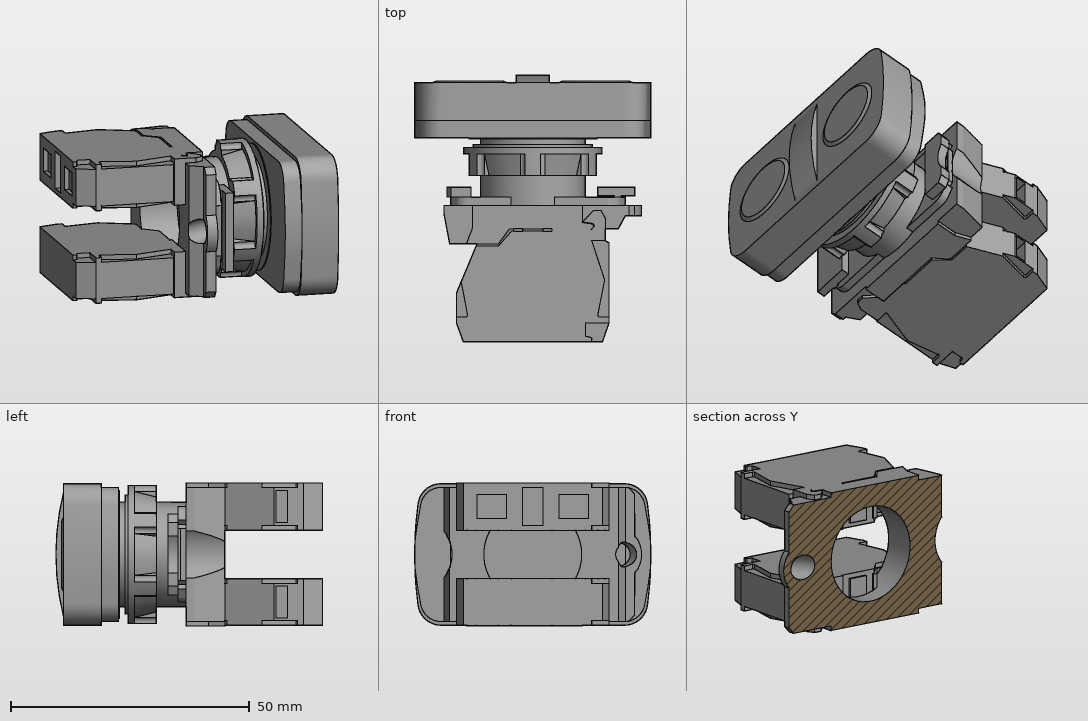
import cadquery as cq
import math


HEAD_HALF_WIDTH = 24.75
HEAD_FRONT_Y = 11.57
HEAD_STEP_Y = 3.62
HEAD_FLAT_HALF = 19.2
FRONT_HALF_HEIGHT = 14.83
FRONT_SHOULDER = (24.06, 10.4)
REAR_HALF_HEIGHT = 14.04
REAR_SHOULDER = (23.5, 10.2)
REAR_BULGE_END = (24.1, 6.8)
LENS_WIDTH = 7.0
LENS_HALF_HEIGHT = 13.0
LENS_RISE = 1.6
BUTTON_X = 13.2
BUTTON_BASE_RADIUS = 7.8
BUTTON_TOP_RADIUS = 6.9
BUTTON_RISE = 0.4

NECK_DIAMETER = 22.0
GASKET_DIAMETER = 26.8
GASKET_THICKNESS = 0.2
WASHER_DIAMETER = 25.0
WASHER_FRONT_Y = -1.35
NUT_DIAMETER = 29.0
NUT_FRONT_Y = -1.95
NUT_FLANGE_REAR_Y = -3.35
NUT_REAR_Y = -7.9
NUT_ROOT_RADIUS = 13.4
NUT_TIP_RADIUS = 12.3
NUT_LOBES = 6
LOBE_HALF_WIDTH = 1.65
LOBE_FILLET = 0.9

LEVER_FRONT_Y = -10.3
PLATE_FRONT_Y = -12.4
LEVER_HALF_HEIGHT = 8.45
LEVER_SCALLOP_HALF = 3.85
LEFT_LEVER_INNER_X = -12.9
LEFT_LEVER_OUTER_X = -18.0
LEVER_FACET_X = -17.1
LEVER_FACET_Z = 6.65
LEVER_SCALLOP_DEPTH = 1.1
RIGHT_LEVER_X = (13.6, 21.4)
RIGHT_LEVER_REAR_Y = -12.1
LEVER_PAD_X = (17.1, 18.5)
PLATE_HALF_HEIGHT = 10.0
TAB_X = -17.2
TAB_HALF_HEIGHT = 5.4
TAB_FRONT_Y = -12.9
TAB_REBATE_DEPTH = 0.3
NOTCH_ROOT = (-16.2, 6.25)
NOTCH_TOP_Z = 7.2
LEFT_CORNER = ((-15.7, 9.2), (-14.75, 9.8), (-13.6, PLATE_HALF_HEIGHT))
RIGHT_CORNER = ((15.8, PLATE_HALF_HEIGHT), (17.3, 9.3), (18.3, 8.0))
PLATE_RIGHT_X = 19.4

BODY_FRONT_Y = -14.1
BODY_STEP_Y = -19.05
BODY_REAR_Y = -22.2
BODY_HALF_HEIGHT = 15.0
SKIN = 1.0
RAMP_START_X = -7.2
RAMP_END_X = -4.9
CENTRE_RIGHT_X = 10.4
FLANGE_REAR_Y = -16.3
FLANGE_X = 21.35
FLANGE_CORNER_X = 20.1
FLANGE_CORNER_Z = 12.6
BODY_RIGHT_X = 19.4
BODY_RIGHT_STEP_X = 17.9
LEFT_DRAFT_Y = -15.9
LEFT_REAR_X = -17.4
CENTRE_LEFT_X = -12.6
CENTRE_LEFT_REAR_X = -13.9
CENTRE_DRAFT_Y = -18.8
LUG_TIP_X = 22.8
LUG_HALF_HEIGHT = 3.9
SCALLOP_FACE_X = -18.6
SCALLOP_DEPTH = 1.7
SCALLOP_HALF_WIDTH = 4.9
BORE_DIAMETER = 20.5
SCREW_DIAMETER = 5.2
SCREW_X = 18.7
SCREW_HOLE_REACH = 5.0
SCREW_TILT = 32.0

BLOCK_INNER_Z = 5.05
UPPER_BLOCK_OUTER_Z = BODY_HALF_HEIGHT
LOWER_BLOCK_OUTER_Z = BODY_HALF_HEIGHT - 0.15
BLOCK_HALF_WIDTH = 16.0
BLOCK_REAR_Y = -42.7
BLOCK_REAR_X = (-14.55, 14.6)
TAPER_Y = -38.7
BLOCK_SHOULDER_X = -11.7
BLOCK_SLOPE_END_Y = -32.5
HOOK_X = 15.2
HOOK_BASE_Y = -21.5
HOOK_TIP = (CENTRE_RIGHT_X, -17.6)
HOOK_CREST = ((14.3, -15.2), (12.7, -15.2))
HOOK_CHAMFER_Y = -16.8
GRIP_REAR_Y = -37.45
CORNER_STEP_X = 11.05
SEAM_LEFT_X = -12.5
GAP = 0.45
CLIP_GROOVE = 0.1
SLIT_END_X = 4.0
SLIT_RIB_HALF_WIDTH = 2.1
SIDE_POCKET_Y = (-35.35, -32.95)
SIDE_POCKET_HEIGHT = 6.75
SIDE_POCKET_DEPTH = 3.0
REAR_POCKET_X = 8.55
REAR_POCKET_SIZE = (6.2, 5.0)
REAR_POCKET_DEPTH = 1.0
CENTRE_POCKET_SIZE = (4.2, 7.95)
CENTRE_POCKET_DEPTH = 3.1


def at_y(y, x=0, z=0):
    """Workplane facing -Y: local x is X, local y is Z."""
    return cq.Workplane("XZ", origin=(x, y, z))


def disc(diameter, front_y, rear_y):
    return at_y(front_y).circle(diameter / 2).extrude(front_y - rear_y)


def plan_prism(points, z_low, z_high):
    """Prism along Z over an outline given as (X, Y) points."""
    return cq.Workplane("XY", origin=(0, 0, z_low)).polyline(points).close().extrude(z_high - z_low)


def tangent_arc_middle(half_flat, half_height, end):
    """Middle of a corner arc that leaves the flat edge tangentially and stops at end."""
    run = end[0] - half_flat
    drop = half_height - end[1]
    radius = (run ** 2 + drop ** 2) / (2 * drop)
    half_angle = math.atan2(run, radius - drop) / 2
    return (half_flat + radius * math.sin(half_angle), half_height - radius * (1 - math.cos(half_angle)))


def head_section(half_height, shoulder, bulge_end, front_y, rear_y):
    """Rounded slab with bulged sides; a straight facet joins shoulder and bulge where they differ."""
    corner = tangent_arc_middle(HEAD_FLAT_HALF, half_height, shoulder)
    outline = at_y(front_y).moveTo(0, half_height).lineTo(HEAD_FLAT_HALF, half_height)
    outline = outline.threePointArc(corner, shoulder)
    if bulge_end != shoulder:
        outline = outline.lineTo(*bulge_end)
    outline = outline.threePointArc((HEAD_HALF_WIDTH, 0), (bulge_end[0], -bulge_end[1]))
    if bulge_end != shoulder:
        outline = outline.lineTo(shoulder[0], -shoulder[1])
    outline = outline.threePointArc((corner[0], -corner[1]), (HEAD_FLAT_HALF, -half_height))
    return outline.lineTo(0, -half_height).mirrorY().extrude(front_y - rear_y)


def make_head():
    head = head_section(FRONT_HALF_HEIGHT, FRONT_SHOULDER, FRONT_SHOULDER, HEAD_FRONT_Y, HEAD_STEP_Y)
    head = head.union(head_section(REAR_HALF_HEIGHT, REAR_SHOULDER, REAR_BULGE_END, HEAD_STEP_Y, 0))
    lens = (
        cq.Workplane("YZ", origin=(-LENS_WIDTH / 2, 0, 0))
        .moveTo(HEAD_FRONT_Y, -LENS_HALF_HEIGHT)
        .threePointArc((HEAD_FRONT_Y + LENS_RISE, 0), (HEAD_FRONT_Y, LENS_HALF_HEIGHT))
        .close()
        .extrude(LENS_WIDTH)
    )
    head = head.union(lens)
    for x in (-BUTTON_X, BUTTON_X):
        top = at_y(HEAD_FRONT_Y + BUTTON_RISE, x).circle(BUTTON_TOP_RADIUS)
        head = head.union(top.workplane(offset=BUTTON_RISE).circle(BUTTON_BASE_RADIUS).loft())
    return head


def make_nut():
    """Flanged ring nut: a cone with lobes whose flanks sweep out to its floor."""
    nut = disc(NUT_DIAMETER, NUT_FRONT_Y, NUT_FLANGE_REAR_Y)
    length = NUT_FLANGE_REAR_Y - NUT_REAR_Y
    cone = at_y(NUT_FLANGE_REAR_Y).circle(NUT_ROOT_RADIUS)
    nut = nut.union(cone.workplane(offset=length).circle(NUT_TIP_RADIUS).loft())
    foot = LOBE_HALF_WIDTH + LOBE_FILLET
    root = NUT_TIP_RADIUS - LOBE_FILLET
    fillet_foot = math.sqrt(NUT_ROOT_RADIUS ** 2 - foot ** 2)
    fillet_top = fillet_foot + LOBE_FILLET
    inset = LOBE_FILLET * (1 - math.sqrt(0.5))
    mid_drop = LOBE_FILLET * math.sqrt(0.5)
    lobe = (
        at_y(NUT_FLANGE_REAR_Y)
        .moveTo(-foot, root)
        .lineTo(-foot, fillet_foot)
        .threePointArc((-LOBE_HALF_WIDTH - inset, fillet_top - mid_drop), (-LOBE_HALF_WIDTH, fillet_top))
        .lineTo(-LOBE_HALF_WIDTH, NUT_DIAMETER / 2)
        .lineTo(LOBE_HALF_WIDTH, NUT_DIAMETER / 2)
        .lineTo(LOBE_HALF_WIDTH, fillet_top)
        .threePointArc((LOBE_HALF_WIDTH + inset, fillet_top - mid_drop), (foot, fillet_foot))
        .lineTo(foot, root)
        .close()
        .extrude(length)
        .intersect(disc(NUT_DIAMETER, NUT_FLANGE_REAR_Y, NUT_REAR_Y))
    )
    for i in range(NUT_LOBES):
        nut = nut.union(lobe.rotate((0, 0, 0), (0, 1, 0), i * 360 / NUT_LOBES))
    return nut


def make_neck():
    neck = disc(NECK_DIAMETER, 0, BODY_FRONT_Y)
    neck = neck.union(disc(GASKET_DIAMETER, 0, -GASKET_THICKNESS))
    neck = neck.union(disc(WASHER_DIAMETER, WASHER_FRONT_Y, NUT_FRONT_Y))
    return neck.union(make_nut())


def make_levers():
    left = (
        at_y(LEVER_FRONT_Y)
        .moveTo(LEFT_LEVER_INNER_X, LEVER_HALF_HEIGHT)
        .lineTo(LEVER_FACET_X, LEVER_HALF_HEIGHT)
        .lineTo(LEFT_LEVER_OUTER_X, LEVER_FACET_Z)
        .lineTo(LEFT_LEVER_OUTER_X, LEVER_SCALLOP_HALF)
        .threePointArc(
            (LEFT_LEVER_OUTER_X + LEVER_SCALLOP_DEPTH, 0), (LEFT_LEVER_OUTER_X, -LEVER_SCALLOP_HALF)
        )
        .lineTo(LEFT_LEVER_OUTER_X, -LEVER_FACET_Z)
        .lineTo(LEVER_FACET_X, -LEVER_HALF_HEIGHT)
        .lineTo(LEFT_LEVER_INNER_X, -LEVER_HALF_HEIGHT)
        .close()
        .extrude(LEVER_FRONT_Y - PLATE_FRONT_Y)
    )
    inner_x, outer_x = RIGHT_LEVER_X
    right = plan_prism(
        [
            (inner_x, LEVER_FRONT_Y),
            (outer_x, LEVER_FRONT_Y),
            (outer_x, RIGHT_LEVER_REAR_Y),
            (LEVER_PAD_X[1], RIGHT_LEVER_REAR_Y),
            (LEVER_PAD_X[1], PLATE_FRONT_Y),
            (LEVER_PAD_X[0], PLATE_FRONT_Y),
            (LEVER_PAD_X[0], RIGHT_LEVER_REAR_Y),
            (inner_x, RIGHT_LEVER_REAR_Y),
        ],
        -LEVER_HALF_HEIGHT,
        LEVER_HALF_HEIGHT,
    )
    return left.union(right)


def make_guide_plate():
    """Plate in front of the body, symmetric about Z = 0, with a notched and rebated left end."""
    upper_half = (
        at_y(PLATE_FRONT_Y)
        .moveTo(TAB_X, 0)
        .lineTo(TAB_X, TAB_HALF_HEIGHT)
        .lineTo(*NOTCH_ROOT)
        .lineTo(TAB_X, NOTCH_TOP_Z)
        .lineTo(*LEFT_CORNER[0])
        .threePointArc(*LEFT_CORNER[1:])
        .lineTo(*RIGHT_CORNER[0])
        .threePointArc(*RIGHT_CORNER[1:])
        .lineTo(PLATE_RIGHT_X, TAB_HALF_HEIGHT)
        .lineTo(PLATE_RIGHT_X, 0)
        .close()
        .extrude(PLATE_FRONT_Y - BODY_FRONT_Y)
    )
    plate = upper_half.union(upper_half.mirror("XY"))
    rebate = at_y(PLATE_FRONT_Y, TAB_X).rect(2 * TAB_REBATE_DEPTH, 2 * TAB_HALF_HEIGHT)
    return plate.cut(rebate.extrude(PLATE_FRONT_Y - TAB_FRONT_Y))


def make_body():
    inner_height = BODY_HALF_HEIGHT - SKIN
    body = plan_prism(
        [
            (SCALLOP_FACE_X, BODY_FRONT_Y),
            (SCALLOP_FACE_X, LEFT_DRAFT_Y),
            (LEFT_REAR_X, BODY_REAR_Y),
            (RAMP_START_X, BODY_REAR_Y),
            (RAMP_END_X, BODY_STEP_Y),
            (BODY_RIGHT_STEP_X, BODY_STEP_Y),
            (BODY_RIGHT_X, FLANGE_REAR_Y),
            (BODY_RIGHT_X, BODY_FRONT_Y),
        ],
        -inner_height,
        inner_height,
    )
    centre = plan_prism(
        [
            (CENTRE_LEFT_X, BODY_FRONT_Y),
            (CENTRE_LEFT_X, CENTRE_DRAFT_Y),
            (CENTRE_LEFT_REAR_X, BODY_REAR_Y),
            (RAMP_START_X, BODY_REAR_Y),
            (RAMP_END_X, BODY_STEP_Y),
            (CENTRE_RIGHT_X, BODY_STEP_Y),
            (CENTRE_RIGHT_X, BODY_FRONT_Y),
        ],
        -BODY_HALF_HEIGHT,
        BODY_HALF_HEIGHT,
    )
    body = body.union(centre).union(make_flange(inner_height))

    scallop_radius = (SCALLOP_HALF_WIDTH ** 2 + SCALLOP_DEPTH ** 2) / (2 * SCALLOP_DEPTH)
    scallop_x = SCALLOP_FACE_X + SCALLOP_DEPTH - scallop_radius
    scallop = at_y(BODY_FRONT_Y, scallop_x).circle(scallop_radius).extrude(BODY_FRONT_Y - BODY_REAR_Y)
    body = body.cut(scallop)
    body = body.cut(disc(BORE_DIAMETER, BODY_FRONT_Y, BODY_REAR_Y))
    return body.cut(make_screw_hole())


def make_flange(half_height):
    """Thin right-hand flange with chamfered corners and a rounded lug."""
    flange = (
        at_y(BODY_FRONT_Y)
        .moveTo(CENTRE_RIGHT_X, half_height)
        .lineTo(FLANGE_CORNER_X, half_height)
        .lineTo(FLANGE_X, FLANGE_CORNER_Z)
        .lineTo(FLANGE_X, LUG_HALF_HEIGHT)
        .threePointArc((LUG_TIP_X, 0), (FLANGE_X, -LUG_HALF_HEIGHT))
        .lineTo(FLANGE_X, -FLANGE_CORNER_Z)
        .lineTo(FLANGE_CORNER_X, -half_height)
        .lineTo(CENTRE_RIGHT_X, -half_height)
        .close()
    )
    return flange.extrude(BODY_FRONT_Y - FLANGE_REAR_Y)


def make_screw_hole():
    """Tilted through hole for the clamping screw, leaning left towards the front."""
    tilt = math.radians(SCREW_TILT)
    axis = cq.Vector(-math.sin(tilt), math.cos(tilt), 0)
    start = cq.Vector(SCREW_X, FLANGE_REAR_Y, 0) - axis * SCREW_HOLE_REACH
    return cq.Workplane(cq.Solid.makeCylinder(SCREW_DIAMETER / 2, 2 * SCREW_HOLE_REACH, start, axis))


def block_outline():
    """Contact block plan outline, from the left shoulder round the rear to the clip hook."""
    return [
        (BLOCK_SHOULDER_X, BODY_REAR_Y),
        (-BLOCK_HALF_WIDTH, BLOCK_SLOPE_END_Y),
        (-BLOCK_HALF_WIDTH, TAPER_Y),
        (BLOCK_REAR_X[0], BLOCK_REAR_Y),
        (BLOCK_REAR_X[1], BLOCK_REAR_Y),
        (BLOCK_HALF_WIDTH, TAPER_Y),
        (BLOCK_HALF_WIDTH, HOOK_BASE_Y - GAP),
        (HOOK_X, HOOK_BASE_Y),
        (HOOK_X, HOOK_CHAMFER_Y),
        *HOOK_CREST,
        HOOK_TIP,
        (CENTRE_RIGHT_X, BODY_STEP_Y),
        (RAMP_END_X, BODY_STEP_Y),
        (RAMP_START_X, BODY_REAR_Y),
    ]


def skin_recesses():
    """Plan outlines of the shallow steps in the block's top and bottom faces."""
    edge = BLOCK_HALF_WIDTH + SKIN
    left_grip = [(-edge, -27.5), (-15.0, -29.9), (-13.65, -37.1), (-13.9, GRIP_REAR_Y), (-edge, GRIP_REAR_Y)]
    right_grip = [
        (12.35, HOOK_BASE_Y),
        (15.05, -29.7),
        (13.6, -37.1),
        (13.85, GRIP_REAR_Y),
        (edge, GRIP_REAR_Y),
        (edge, HOOK_BASE_Y),
    ]
    corner = [
        (CORNER_STEP_X, TAPER_Y),
        (CORNER_STEP_X, -41.5),
        (12.1, -41.75),
        (12.4, -42.0),
        (12.25, BLOCK_REAR_Y),
        (edge, BLOCK_REAR_Y),
        (edge, TAPER_Y),
    ]
    seam = [
        (SEAM_LEFT_X, BODY_REAR_Y),
        (RAMP_START_X, BODY_REAR_Y),
        (RAMP_END_X, BODY_STEP_Y),
        (SLIT_END_X, BODY_STEP_Y),
        (SLIT_END_X, BODY_STEP_Y - GAP),
        (RAMP_END_X + GAP, BODY_STEP_Y - GAP),
        (RAMP_START_X, BODY_REAR_Y - GAP),
        (SEAM_LEFT_X, BODY_REAR_Y - GAP),
    ]
    return [left_grip, right_grip, corner, seam]


def clip_groove(outer_z):
    """Fine hooked groove that parts the clip tip from the body, in the block's outer face."""
    path = [HOOK_TIP, (12.6, -17.9), (12.9, -18.4), (12.3, -19.1)]
    outline = path + [(x - CLIP_GROOVE, y - CLIP_GROOVE) for x, y in reversed(path)]
    return plan_prism(outline, outer_z - CLIP_GROOVE, outer_z + CLIP_GROOVE)


def make_block(z_low, z_high):
    block = plan_prism(block_outline(), z_low, z_high)
    low_floor = z_low + SKIN
    high_floor = z_high - SKIN
    for outline in skin_recesses():
        block = block.cut(plan_prism(outline, z_low, low_floor))
        block = block.cut(plan_prism(outline, high_floor, z_high))

    slit_length = SLIT_END_X - SLIT_RIB_HALF_WIDTH
    for x in (-SLIT_END_X, SLIT_RIB_HALF_WIDTH):
        slit = cq.Workplane("XY").box(slit_length, GAP, z_high - z_low, centered=False)
        block = block.cut(slit.translate((x, BODY_STEP_Y - GAP, z_low)))

    pocket_length = SIDE_POCKET_Y[1] - SIDE_POCKET_Y[0]
    pocket = cq.Workplane("XY").box(2 * SIDE_POCKET_DEPTH, pocket_length, SIDE_POCKET_HEIGHT)
    middle_z = (low_floor + high_floor) / 2
    return block.cut(pocket.translate((-BLOCK_HALF_WIDTH, sum(SIDE_POCKET_Y) / 2, middle_z)))


def rear_pockets(middle_z):
    """Two shallow terminal windows and the deeper one between them."""
    rear = cq.Workplane("XZ", origin=(0, BLOCK_REAR_Y, middle_z))
    windows = rear.pushPoints([(-REAR_POCKET_X, 0), (REAR_POCKET_X, 0)])
    windows = windows.rect(*REAR_POCKET_SIZE).extrude(-REAR_POCKET_DEPTH)
    return windows.union(rear.rect(*CENTRE_POCKET_SIZE).extrude(-CENTRE_POCKET_DEPTH))


def make_contact_blocks():
    upper = make_block(BLOCK_INNER_Z, UPPER_BLOCK_OUTER_Z)
    upper = upper.cut(rear_pockets((BLOCK_INNER_Z + UPPER_BLOCK_OUTER_Z) / 2))
    lower = make_block(-LOWER_BLOCK_OUTER_Z, -BLOCK_INNER_Z)
    return upper.union(lower)


result = make_head().union(make_neck())
result = result.union(make_guide_plate()).union(make_levers())
result = result.union(make_body()).union(make_contact_blocks())
result = result.cut(clip_groove(BODY_HALF_HEIGHT))